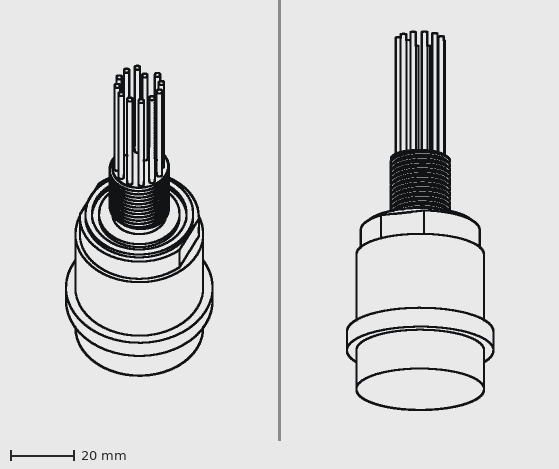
import cadquery as cq
import math

TOTAL_HEIGHT = 117.2

BODY_DIAMETER = 40.5
BODY_TOP = 45.1
FLANGE_DIAMETER = 46.5
FLANGE_BOTTOM = 13.0
FLANGE_THICKNESS = 6.3

SHOULDER_DIAMETER = 37.7
ACROSS_FLATS = 34.9
SHOULDER_HEIGHT = 8.3
SHOULDER_TOP = BODY_TOP + SHOULDER_HEIGHT

CAP_DIAMETER = 34.2
CAP_HEIGHT = 1.4
CAP_TOP = SHOULDER_TOP + CAP_HEIGHT
GROOVE_OUTER_DIAMETER = 30.0
GROOVE_INNER_DIAMETER = 25.5

NECK_DIAMETER = 17.1
NECK_TOP = 77.2
THREAD_DIAMETER = 18.9
THREAD_BOTTOM = 57.9
THREAD_PITCH = 1.58
CREST_WIDTH = 0.1
FLANK_ANGLE = 30.0
THREAD_ROOT_OVERLAP = 0.1

WIRE_DIAMETER = 1.8
WIRE_CIRCLE_RADIUS = 7.0
WIRE_PLACES = 12
INWARD_WIRE_RADIUS = 4.1
INWARD_WIRE_PLACE = WIRE_PLACES // 4
WIRE_EMBED = 1.2


def cylinder(diameter, bottom, top):
    """Upright cylinder on the part axis between two heights."""
    return cq.Workplane("XY").workplane(offset=bottom).circle(diameter / 2).extrude(top - bottom)


def make_body():
    body = cylinder(BODY_DIAMETER, 0, BODY_TOP)
    flange = cylinder(FLANGE_DIAMETER, FLANGE_BOTTOM, FLANGE_BOTTOM + FLANGE_THICKNESS)
    return body.union(flange)


def make_shoulder():
    between_flats = (
        cq.Workplane("XY")
        .workplane(offset=BODY_TOP)
        .rect(ACROSS_FLATS, SHOULDER_DIAMETER)
        .extrude(SHOULDER_HEIGHT)
    )
    return cylinder(SHOULDER_DIAMETER, BODY_TOP, SHOULDER_TOP).intersect(between_flats)


def make_cap():
    groove = cylinder(GROOVE_OUTER_DIAMETER, SHOULDER_TOP, CAP_TOP).cut(
        cylinder(GROOVE_INNER_DIAMETER, SHOULDER_TOP, CAP_TOP)
    )
    return cylinder(CAP_DIAMETER, SHOULDER_TOP, CAP_TOP).cut(groove)


def make_thread():
    """Helical ridge, run one pitch past each end and trimmed flat there."""
    root_radius = NECK_DIAMETER / 2 - THREAD_ROOT_OVERLAP
    crest_radius = THREAD_DIAMETER / 2
    half_crest = CREST_WIDTH / 2
    half_root = half_crest + (crest_radius - root_radius) * math.tan(math.radians(FLANK_ANGLE))
    start = THREAD_BOTTOM - THREAD_PITCH
    length = NECK_TOP - THREAD_BOTTOM + 2 * THREAD_PITCH
    path = cq.Wire.makeHelix(THREAD_PITCH, length, root_radius).moved(cq.Location(cq.Vector(0, 0, start)))
    ridge = (
        cq.Workplane("XZ")
        .polyline(
            [
                (root_radius, start - half_root),
                (crest_radius, start - half_crest),
                (crest_radius, start + half_crest),
                (root_radius, start + half_root),
            ]
        )
        .close()
        .sweep(cq.Workplane(path), isFrenet=True)
    )
    return ridge.intersect(cylinder(2 * THREAD_DIAMETER, THREAD_BOTTOM, NECK_TOP))


def wire_position(place):
    angle = 2 * math.pi * place / WIRE_PLACES
    radius = INWARD_WIRE_RADIUS if place == INWARD_WIRE_PLACE else WIRE_CIRCLE_RADIUS
    return (radius * math.cos(angle), radius * math.sin(angle))


def make_wires():
    return (
        cq.Workplane("XY")
        .workplane(offset=NECK_TOP - WIRE_EMBED)
        .pushPoints([wire_position(place) for place in range(WIRE_PLACES)])
        .circle(WIRE_DIAMETER / 2)
        .extrude(TOTAL_HEIGHT - NECK_TOP + WIRE_EMBED)
    )


result = (
    make_body()
    .union(make_shoulder())
    .union(make_cap())
    .union(cylinder(NECK_DIAMETER, SHOULDER_TOP, NECK_TOP))
    .union(make_thread())
    .union(make_wires())
)